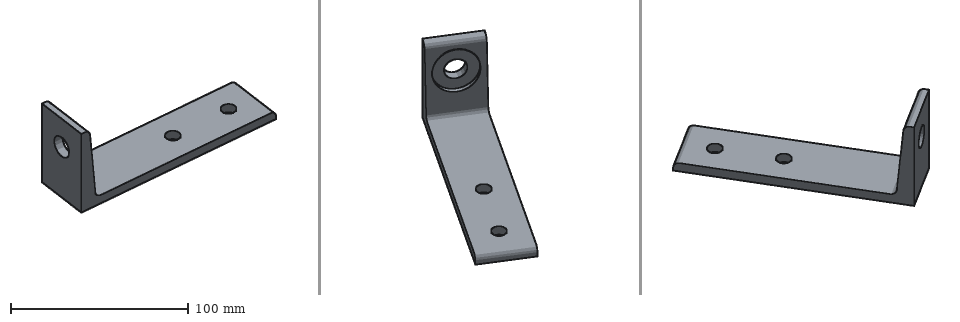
import cadquery as cq
import math

width = 36.0
length = 140.0
height = 56.0

foot_thickness = 6.0
leg_tip_thickness = 6.0
leg_taper_degrees = 5.0
corner_radius = 4.0

foot_hole_diameter = 9.0
foot_hole_pitch = 40.0
foot_hole_end_distance = foot_hole_pitch / 2
leg_hole_diameter = 13.5
leg_hole_height = height - foot_hole_end_distance
spotface_diameter = 28.0
spotface_floor = 6.0

leg_root_thickness = leg_tip_thickness + (height - foot_thickness) * math.tan(math.radians(leg_taper_degrees))


def make_body():
    """L-shaped section extruded across the width, with rounded inner corner and ends."""
    outline = [
        (0, 0),
        (length, 0),
        (length, foot_thickness),
        (leg_root_thickness, foot_thickness),
        (leg_tip_thickness, height),
        (0, height),
    ]
    body = cq.Workplane("YZ").polyline(outline).close().extrude(width / 2, both=True)
    for y, z in outline[2:5]:
        body = body.edges(cq.selectors.NearestToPointSelector((0, y, z))).fillet(corner_radius)
    return body


def leg_cylinder(diameter, start_y):
    """Cutter along +Y, centred on the leg hole, from start_y to beyond the leg."""
    return (
        cq.Workplane("XZ", origin=(0, start_y, leg_hole_height))
        .circle(diameter / 2)
        .extrude(-leg_root_thickness)
    )


def foot_holes():
    """Two vertical through holes on the centre line, counted from the free end."""
    last_y = length - foot_hole_end_distance
    return (
        cq.Workplane("XY")
        .pushPoints([(0, last_y - i * foot_hole_pitch) for i in range(2)])
        .circle(foot_hole_diameter / 2)
        .extrude(foot_thickness)
    )


result = (
    make_body()
    .cut(foot_holes())
    .cut(leg_cylinder(leg_hole_diameter, 0))
    .cut(leg_cylinder(spotface_diameter, spotface_floor))
)